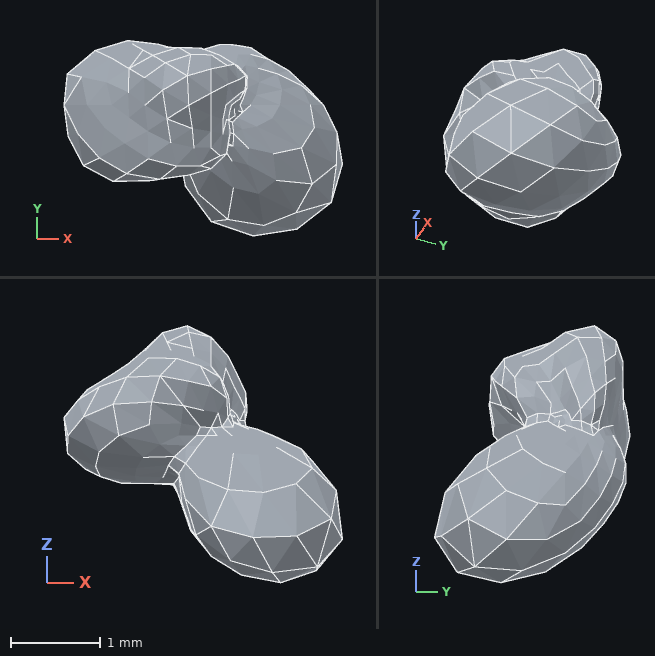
import cadquery as cq
import math


FACETS_PER_EDGE = 5
WAIST_RADIUS = 0.343
BASE_LEVEL = -1.385

SWELLINGS = {
    "left head": (170.2, -3.7, 2.235, 33.5),
    "left head, front shoulder": (-144.9, 3.2, 1.07, 21.9),
    "left head, upper front cheek": (-126.6, 36.1, 1.023, 21.8),
    "left head, underside": (-170.0, -77.5, 0.477, 16.9),
    "upper head": (126.0, 72.2, 2.145, 35.6),
    "upper head, front bulge": (-79.0, 40.6, 0.92, 20.2),
    "upper head, right flank": (35.4, 35.6, 0.505, 18.8),
    "lower right head": (-41.3, -36.5, 2.87, 37.5),
    "lower right head, front bulge": (-97.0, -38.0, 0.9, 21.3),
    "lower right head, broad back": (69.0, -34.3, 1.71, 46.7),
}


def direction(azimuth, elevation):
    """Unit vector for two angles in degrees."""
    turn = math.radians(azimuth)
    rise = math.radians(elevation)
    return cq.Vector(
        math.cos(rise) * math.cos(turn),
        math.cos(rise) * math.sin(turn),
        math.sin(rise),
    )


SWELLING_SHAPES = [
    (direction(azimuth, elevation), height, math.radians(spread))
    for azimuth, elevation, height, spread in SWELLINGS.values()
]


def surface_radius(outward):
    """Distance from the origin to the surface along a unit vector."""
    level = BASE_LEVEL
    for axis, height, spread in SWELLING_SHAPES:
        level += height * math.exp((outward.dot(axis) - 1) / spread**2)
    return math.hypot(level, WAIST_RADIUS)


def icosahedron_corners():
    """The twelve corners of an icosahedron with edges of length 2."""
    golden_ratio = (1 + math.sqrt(5)) / 2
    corners = []
    for short in (-1, 1):
        for long in (-golden_ratio, golden_ratio):
            corners.append(cq.Vector(short, long, 0))
            corners.append(cq.Vector(0, short, long))
            corners.append(cq.Vector(long, 0, short))
    return corners


def icosahedron_triangles():
    """The twenty corner triples that are one edge apart, each turning left seen from outside."""
    corners = icosahedron_corners()
    longest_edge = 2.1

    def joined(p, q):
        return (p - q).Length < longest_edge

    triangles = []
    for i, a in enumerate(corners):
        for j, b in enumerate(corners[:i]):
            for c in corners[:j]:
                if joined(a, b) and joined(b, c) and joined(a, c):
                    outward = (b - a).cross(c - a).dot(a) > 0
                    triangles.append((a, b, c) if outward else (a, c, b))
    return triangles


def split_triangle(a, b, c):
    """Cut one triangle into equal smaller ones with the same turning sense."""
    count = FACETS_PER_EDGE

    def grid_point(i, j):
        return a + (b - a) * (i / count) + (c - a) * (j / count)

    for i in range(count):
        for j in range(count - i):
            yield grid_point(i, j), grid_point(i + 1, j), grid_point(i, j + 1)
            if i + j < count - 1:
                yield grid_point(i + 1, j), grid_point(i + 1, j + 1), grid_point(i, j + 1)


def push_to_surface(point):
    outward = point.normalized()
    return outward * surface_radius(outward)


def facet(triangle):
    corners = [push_to_surface(point) for point in triangle]
    return cq.Face.makeFromWires(cq.Wire.makePolygon(corners, close=True))


facets = [
    facet(small)
    for large in icosahedron_triangles()
    for small in split_triangle(*large)
]
blob = cq.Solid.makeSolid(cq.Shell.makeShell(facets))
result = cq.Workplane("XY").newObject([blob])